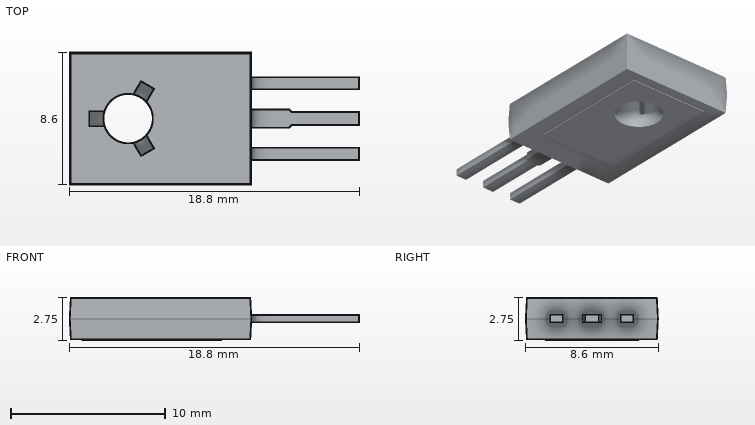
import cadquery as cq

overall_length = 18.8
overall_height = 2.75
body_length = 11.8
body_width = 8.6

draft_angle = 3.0
pad_thickness = 0.05
half_height = (overall_height - pad_thickness) / 2
pad_start = 0.8
pad_length = 9.02
pad_width = 6.0

hole_x = 3.8
hole_diameter = 3.2
notch_count = 3
notch_reach = 2.52
notch_width = 0.98
notch_depth = 1.8

lead_pitch = 2.3
lead_thickness = 0.49
outer_lead_width = 0.8
middle_lead_width = 0.86
shoulder_width = 1.2
shoulder_length = 2.45
shoulder_taper = (shoulder_width - middle_lead_width) / 2
lead_embed = 0.19


def body_half(direction):
    """Tapered half of the body, rising (+1) or falling (-1) from the parting plane."""
    return (
        cq.Workplane("XY")
        .center(body_length / 2, 0)
        .rect(body_length, body_width)
        .extrude(direction * half_height, taper=draft_angle)
    )


def bottom_pad():
    return cq.Workplane("XY").box(
        pad_length, pad_width, pad_thickness, centered=(False, True, False)
    ).translate((pad_start, 0, -half_height - pad_thickness))


def mounting_hole():
    return (
        cq.Workplane("XY", origin=(hole_x, 0, -half_height - pad_thickness))
        .circle(hole_diameter / 2)
        .extrude(overall_height)
    )


def notch(index):
    """Radial notch cut down from the top face, the first one pointing toward -X."""
    blank = cq.Workplane("XY").box(
        notch_reach, notch_width, notch_depth, centered=(False, True, False)
    )
    angle = 180 + index * 360 / notch_count
    return blank.rotate((0, 0, 0), (0, 0, 1), angle).translate(
        (hole_x, 0, half_height - notch_depth)
    )


def straight_lead(y, width):
    start = body_length - lead_embed
    return cq.Workplane("XY").box(
        overall_length - start, width, lead_thickness, centered=(False, True, True)
    ).translate((start, y, 0))


def lead_shoulder():
    """Wide root of the middle lead, with its end corners sloping to the lead width."""
    start = body_length - lead_embed
    wide_end = body_length + shoulder_length
    tip = wide_end + shoulder_taper
    return (
        cq.Workplane("XY")
        .moveTo(start, -shoulder_width / 2)
        .lineTo(wide_end, -shoulder_width / 2)
        .lineTo(tip, -middle_lead_width / 2)
        .lineTo(tip, middle_lead_width / 2)
        .lineTo(wide_end, shoulder_width / 2)
        .lineTo(start, shoulder_width / 2)
        .close()
        .extrude(lead_thickness / 2, both=True)
    )


result = body_half(1).union(body_half(-1)).union(bottom_pad())
result = result.cut(mounting_hole())
for index in range(notch_count):
    result = result.cut(notch(index))

for side in (-1, 1):
    result = result.union(straight_lead(side * lead_pitch, outer_lead_width))
result = result.union(straight_lead(0, middle_lead_width)).union(lead_shoulder())